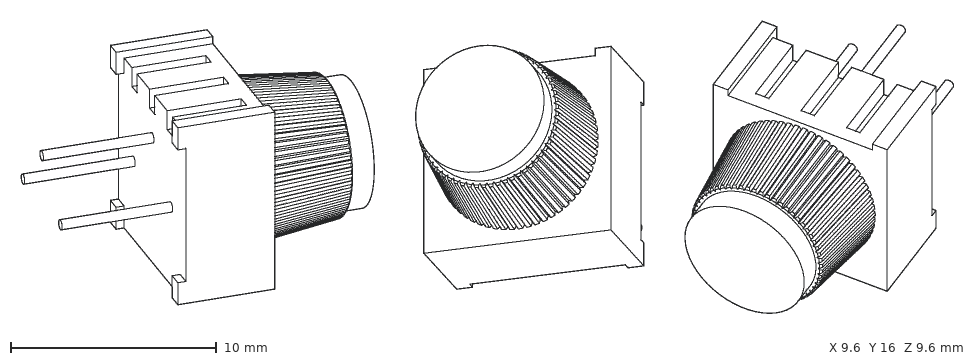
import cadquery as cq
import math


SIDE = 9.6
RAIL_TIP_DEPTH = 5.0
FOOT_HEIGHT = 0.42
FOOT_LENGTH = 1.2
RAIL_WIDTH = 0.82
RAIL_RISE = 0.38
BLOCK_DEPTH = RAIL_TIP_DEPTH - FOOT_HEIGHT
REAR_Y = -BLOCK_DEPTH
HALF_SIDE = SIDE / 2
TOP_Z = HALF_SIDE - RAIL_RISE

SLOT_WIDTH = 0.74
SLOT_DEPTH = 1.02
SLOT_PITCH = 2.51
SLOT_WALL = 0.77
SLOT_LENGTH = BLOCK_DEPTH - SLOT_WALL

SKIRT_LENGTH = 4.5
SKIRT_BASE_RADIUS = 4.15
SKIRT_TOP_RADIUS = 3.6
SKIRT_CHAMFER = 0.1
CAP_RADIUS = 3.3
CAP_LENGTH = 1.2

GROOVE_COUNT = 60
GROOVE_DEPTH = 0.18
GROOVE_ANGLE = 60.0
GROOVE_START_ANGLE = -0.7
GROOVE_OVERSHOOT = 0.16

OVERALL_LENGTH = 16.0
PIN_RADIUS = 0.25
PIN_LENGTH = OVERALL_LENGTH - SKIRT_LENGTH - CAP_LENGTH - BLOCK_DEPTH
OUTER_PIN_X = 2.65
OUTER_PIN_Z = -0.56
MIDDLE_PIN_Z = 1.95
PIN_CENTRES = [
    (-OUTER_PIN_X, OUTER_PIN_Z),
    (0, MIDDLE_PIN_Z),
    (OUTER_PIN_X, OUTER_PIN_Z),
]


def box(x_min, x_max, y_min, y_max, z_min, z_max):
    """Box between two opposite corners."""
    size = (x_max - x_min, y_max - y_min, z_max - z_min)
    return cq.Workplane("XY").box(*size, centered=False).translate((x_min, y_min, z_min))


def rail_span(side):
    """X limits of the rail and feet on one side; side is -1 or +1."""
    return sorted((side * (HALF_SIDE - RAIL_WIDTH), side * HALF_SIDE))


def make_side_rail(side):
    """Raised rail along one side of the top face."""
    x_min, x_max = rail_span(side)
    return box(x_min, x_max, REAR_Y, 0, TOP_Z, HALF_SIDE)


def make_foot(side, z_min):
    """Corner foot standing out from the rear face."""
    x_min, x_max = rail_span(side)
    return box(x_min, x_max, -RAIL_TIP_DEPTH, REAR_Y, z_min, z_min + FOOT_LENGTH)


def make_slot(x):
    """Cutter for one slot in the top face."""
    half_width = SLOT_WIDTH / 2
    return box(x - half_width, x + half_width, REAR_Y, REAR_Y + SLOT_LENGTH, TOP_Z - SLOT_DEPTH, TOP_Z)


def make_pin(x, z):
    """Round pin from the rear face towards -Y."""
    pin = cq.Solid.makeCylinder(PIN_RADIUS, PIN_LENGTH, cq.Vector(x, REAR_Y, z), cq.Vector(0, -1, 0))
    return cq.Workplane(obj=pin)


def make_housing():
    """Block with rails, feet, slots and the fixed pins."""
    body = box(-HALF_SIDE, HALF_SIDE, REAR_Y, 0, -HALF_SIDE, TOP_Z)
    for x in (-SLOT_PITCH, 0, SLOT_PITCH):
        body = body.cut(make_slot(x))
    for side in (-1, 1):
        body = body.union(make_side_rail(side))
        for z_min in (-HALF_SIDE, HALF_SIDE - FOOT_LENGTH):
            body = body.union(make_foot(side, z_min))
    for x, z in PIN_CENTRES:
        body = body.union(make_pin(x, z))
    return body


def make_groove():
    """Cutter for the groove on the +Z side of the skirt."""
    taper = SKIRT_BASE_RADIUS - SKIRT_TOP_RADIUS
    run = math.hypot(SKIRT_LENGTH, taper)
    half_width = (GROOVE_DEPTH + GROOVE_OVERSHOOT) * math.tan(math.radians(GROOVE_ANGLE / 2))
    section = cq.Plane(
        origin=(0, 0, SKIRT_BASE_RADIUS),
        xDir=(1, 0, 0),
        normal=(0, SKIRT_LENGTH, -taper),
    )
    return (
        cq.Workplane(section)
        .workplane(offset=-GROOVE_OVERSHOOT)
        .moveTo(-half_width, -GROOVE_OVERSHOOT)
        .lineTo(half_width, -GROOVE_OVERSHOOT)
        .lineTo(0, GROOVE_DEPTH)
        .close()
        .extrude(run + 2 * GROOVE_OVERSHOOT)
    )


def make_knob():
    """Tapered skirt with grip grooves and a plain round cap."""
    skirt = (
        cq.Workplane("XY")
        .lineTo(SKIRT_BASE_RADIUS, 0)
        .lineTo(SKIRT_TOP_RADIUS, SKIRT_LENGTH)
        .lineTo(0, SKIRT_LENGTH)
        .close()
        .revolve(360, (0, 0, 0), (0, 1, 0))
        .faces(">Y")
        .chamfer(SKIRT_CHAMFER)
    )
    groove = make_groove().val()
    step = 360 / GROOVE_COUNT
    angles = [GROOVE_START_ANGLE + i * step for i in range(GROOVE_COUNT)]
    grooves = [groove.rotate((0, 0, 0), (0, 1, 0), angle) for angle in angles]
    skirt = cq.Workplane(obj=skirt.val().cut(*grooves))
    cap = cq.Solid.makeCylinder(CAP_RADIUS, CAP_LENGTH, cq.Vector(0, SKIRT_LENGTH, 0), cq.Vector(0, 1, 0))
    return skirt.union(cq.Workplane(obj=cap))


housing = make_housing()
knob = make_knob()

result = cq.Compound.makeCompound([housing.solids().val(), knob.solids().val()])